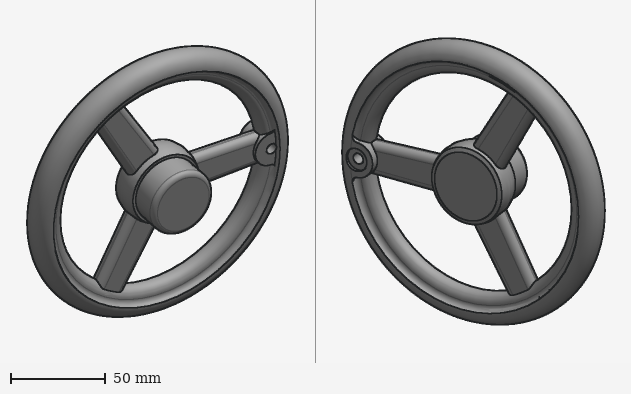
import cadquery as cq
import math

outer_radius = 80.0
rim_width = 18.2
rim_round = rim_width / 2
rim_center_radius = outer_radius - rim_round
rim_mid_x = rim_width / 2
scoop_round = 3.4
inner_round_start_radius = rim_center_radius - scoop_round
inner_radius = inner_round_start_radius - (rim_mid_x - scoop_round)

total_width = 34.0
hub_front_x = 1.5
hub_front_radius = 21.8
hub_crest_x = 8.8
hub_crest_radius = 22.7
hub_back_radius = 20.8
hub_shoulder_x = 17.6
hub_chamfer_depth = 1.0
hub_face_radius = 19.4
sleeve_diameter = 38.0
sleeve_round = 2.9

spoke_count = 3
spoke_front_x = 4.8
spoke_back_x = 13.8
spoke_root_width = 21.1
spoke_tip_width = 18.9
spoke_root_radius = 16.0
spoke_tip_radius = 65.5
spoke_round = 4.2

boss_radius = 10.0
boss_center_y = 67.0
boss_back_x = 15.8
boss_fillet = 3.2
handle_hole_diameter = 6.0
recess_diameter = 13.0
recess_depth = 1.9


def revolve_about_x(profile):
    """Revolve a profile drawn in (X, radius) about the X axis."""
    return profile.close().revolve(360, (0, 0, 0), (1, 0, 0))


def x_cylinder(radius, start_x, length, center_y=0):
    return cq.Workplane("YZ", origin=(start_x, center_y, 0)).circle(radius).extrude(length)


def make_rim():
    """Semicircular outside, scooped on both faces down to a slimmer semicircular inside."""
    scoop_drop = scoop_round * math.sqrt(0.5)
    scoop_mid_radius = inner_round_start_radius + scoop_drop
    profile = (
        cq.Workplane("XY")
        .moveTo(0, rim_center_radius)
        .threePointArc((rim_mid_x, outer_radius), (rim_width, rim_center_radius))
        .threePointArc(
            (rim_width - scoop_drop, scoop_mid_radius),
            (rim_width - scoop_round, inner_round_start_radius),
        )
        .threePointArc((rim_mid_x, inner_radius), (scoop_round, inner_round_start_radius))
        .threePointArc((scoop_drop, scoop_mid_radius), (0, rim_center_radius))
    )
    return revolve_about_x(profile)


def make_hub():
    """Barrel-shaped front drum with a chamfered face, and a plain sleeve behind it."""
    drum = revolve_about_x(
        cq.Workplane("XY")
        .moveTo(hub_front_x, 0)
        .lineTo(hub_front_x, hub_face_radius)
        .lineTo(hub_front_x + hub_chamfer_depth, hub_front_radius)
        .threePointArc((hub_crest_x, hub_crest_radius), (hub_shoulder_x, hub_back_radius))
        .lineTo(hub_shoulder_x, 0)
    )
    sleeve = x_cylinder(sleeve_diameter / 2, hub_shoulder_x, total_width - hub_shoulder_x)
    return drum.union(sleeve.faces(">X").edges().fillet(sleeve_round))


def make_spoke():
    """Tapered bar along +Y with its long edges rounded."""
    return (
        cq.Workplane("YZ", origin=(spoke_front_x, 0, 0))
        .moveTo(spoke_root_radius, -spoke_root_width / 2)
        .lineTo(spoke_tip_radius, -spoke_tip_width / 2)
        .lineTo(spoke_tip_radius, spoke_tip_width / 2)
        .lineTo(spoke_root_radius, spoke_root_width / 2)
        .close()
        .extrude(spoke_back_x - spoke_front_x)
        .faces("<X or >X")
        .edges("not |Z")
        .fillet(spoke_round)
    )


def make_boss():
    """Boss flush with the front face, inside the crest of the rim and flared where it meets the rim."""
    to_flare = boss_radius + boss_fillet
    flare_orbit = rim_center_radius - boss_fillet
    flare_y = (flare_orbit**2 + boss_center_y**2 - to_flare**2) / (2 * boss_center_y)
    flare_z = math.sqrt(flare_orbit**2 - flare_y**2)
    outward = outer_radius / flare_orbit

    boss = x_cylinder(boss_radius, 0, boss_back_x, boss_center_y)
    flare = (
        cq.Workplane("YZ")
        .moveTo(boss_center_y, 0)
        .lineTo(flare_y, flare_z)
        .lineTo(flare_y * outward, flare_z * outward)
        .lineTo(flare_y * outward, -flare_z * outward)
        .lineTo(flare_y, -flare_z)
        .close()
        .extrude(boss_back_x)
    )
    flare_cutters = (
        cq.Workplane("YZ")
        .pushPoints([(flare_y, flare_z), (flare_y, -flare_z)])
        .circle(boss_fillet)
        .extrude(boss_back_x)
    )
    body = boss.union(flare.cut(flare_cutters))
    return body.intersect(x_cylinder(rim_center_radius, 0, boss_back_x))


result = make_rim().union(make_hub())
spoke = make_spoke()
for index in range(spoke_count):
    angle = index * 360 / spoke_count
    result = result.union(spoke.rotate((0, 0, 0), (1, 0, 0), angle))
result = result.union(make_boss())
result = result.cut(x_cylinder(handle_hole_diameter / 2, 0, rim_width, boss_center_y))
result = result.cut(x_cylinder(recess_diameter / 2, 0, recess_depth, boss_center_y))

result = result.translate((-total_width / 2, 0, 0))